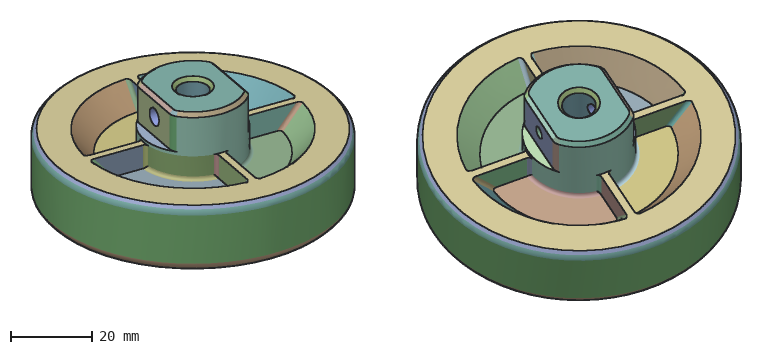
import cadquery as cq

wheel_diameter = 80
wheel_width = 18.0
rim_chamfer = 1.4
rim_rounding = 2.0

recess_depth = 6.6
recess_top_diameter = 60.2
recess_floor_diameter = 49.0
rib_width = 2.2
rib_end_radius = 1.0

hub_diameter = 28
hub_height = 30.0
hub_base_fillet = 1.0
hub_chamfer = 1.0
flat_spacing = 22.0
flat_height = 11.0
flat_edge_radius = 3.0

bore_diameter = 8.4
bore_mouth_diameter = 10.4
wide_cross_diameter = 4.7
narrow_cross_diameter = 3.3
cross_hole_below_top = 5.6

recess_floor_z = wheel_width - recess_depth
flat_bottom_z = hub_height - flat_height
cross_hole_z = hub_height - cross_hole_below_top


def make_wheel():
    """Solid disc whose chamfered rims blend into the tread."""
    disc = cq.Workplane("XY").circle(wheel_diameter / 2).extrude(wheel_width)
    chamfered = disc.edges("%CIRCLE").chamfer(rim_chamfer)
    tread_edges = chamfered.edges(cq.selectors.RadiusNthSelector(-1))
    return tread_edges.fillet(rim_rounding)


def make_recess_quarter():
    """Tapered pocket between two neighbouring ribs, with the hub left standing."""
    cone = (
        cq.Workplane("XZ")
        .moveTo(0, recess_floor_z)
        .lineTo(recess_floor_diameter / 2, recess_floor_z)
        .lineTo(recess_top_diameter / 2, wheel_width)
        .lineTo(0, wheel_width)
        .close()
        .revolve(360, (0, 0, 0), (0, 1, 0))
    )
    quarter = (
        cq.Workplane("XY", origin=(rib_width / 2, rib_width / 2, recess_floor_z))
        .rect(wheel_diameter, wheel_diameter, centered=False)
        .extrude(recess_depth)
    )
    hub_core = cq.Workplane("XY").circle(hub_diameter / 2).extrude(hub_height)
    pocket = cone.intersect(quarter).cut(hub_core)

    hub_corners_rounded = pocket.edges("|Z").fillet(rib_end_radius)
    return hub_corners_rounded.edges("%HYPERBOLA").fillet(rib_end_radius)


def make_hub():
    """Round hub with two parallel flats above a low round shoulder."""
    shoulder = cq.Workplane("XY").circle(hub_diameter / 2).extrude(flat_bottom_z)
    slab = cq.Workplane("XY").box(hub_diameter, flat_spacing, 2 * hub_height)
    head = (
        cq.Workplane("XY", origin=(0, 0, flat_bottom_z))
        .circle(hub_diameter / 2)
        .extrude(flat_height)
        .intersect(slab)
        .edges("|Z")
        .fillet(flat_edge_radius)
        .faces(">Z")
        .chamfer(hub_chamfer)
    )
    return shoulder.union(head)


def make_hub_foot():
    """Ring with a concave quarter-round that blends the hub into the recess floor."""
    hub_radius = hub_diameter / 2
    foot_radius = hub_radius + hub_base_fillet
    foot_top_z = recess_floor_z + hub_base_fillet
    arc_inset = hub_base_fillet * (1 - 0.5 ** 0.5)
    return (
        cq.Workplane("XZ")
        .moveTo(0, recess_floor_z)
        .lineTo(foot_radius, recess_floor_z)
        .threePointArc((hub_radius + arc_inset, recess_floor_z + arc_inset), (hub_radius, foot_top_z))
        .lineTo(0, foot_top_z)
        .close()
        .revolve(360, (0, 0, 0), (0, 1, 0))
    )


def make_bore():
    """Axle bore through the whole part with a countersunk mouth on the hub."""
    mouth_depth = (bore_mouth_diameter - bore_diameter) / 2
    mouth_z = hub_height - mouth_depth
    return (
        cq.Workplane("XZ")
        .moveTo(0, 0)
        .lineTo(bore_diameter / 2, 0)
        .lineTo(bore_diameter / 2, mouth_z)
        .lineTo(bore_mouth_diameter / 2, hub_height)
        .lineTo(0, hub_height)
        .close()
        .revolve(360, (0, 0, 0), (0, 1, 0))
    )


def make_cross_holes():
    """Wide hole through the -Y wall of the hub and a narrow one through the +Y wall."""
    axis_plane = cq.Workplane("XZ", origin=(0, 0, cross_hole_z))
    wide = axis_plane.circle(wide_cross_diameter / 2).extrude(hub_diameter / 2)
    narrow = axis_plane.circle(narrow_cross_diameter / 2).extrude(-hub_diameter / 2)
    return wide.union(narrow)


wheel = make_wheel()
recess_quarter = make_recess_quarter()
for quarter_index in range(4):
    turned_quarter = recess_quarter.rotate((0, 0, 0), (0, 0, 1), 90 * quarter_index)
    wheel = wheel.cut(turned_quarter)

result = wheel.union(make_hub()).union(make_hub_foot()).cut(make_bore()).cut(make_cross_holes())